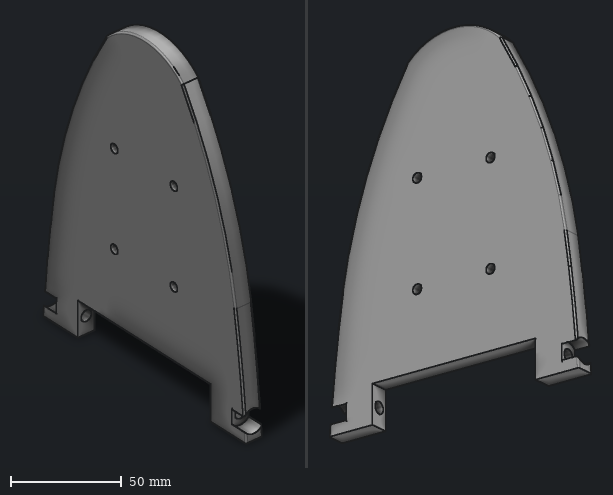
import cadquery as cq

thickness = 10.0
height = 182.4
overall_width = 141.4
base_half_width = overall_width / 2
side_lower_mid = (67.7, 34.7)
side_joint = (63.3, 68.8)
side_upper_mid = (50.5, 120.0)
shoulder = (26.6, 171.0)
edge_round = 1.0

gap_half_width = 46.0
gap_height = 20.0

mount_diameter = 5.0
mount_spacing_x = 41.4
mount_spacing_z = 54.0
mount_center_z = 86.8

pivot_z = 9.8
pivot_diameter = 6.0
counterbore_diameter = 12.8
counterbore_floor_x = 61.0


def mirrored(point):
    """Reflect an outline point across the centre plane."""
    return (-point[0], point[1])


def plate():
    """Tapered plate with rounded outer edges on both faces."""
    outline = (
        cq.Workplane("XZ")
        .moveTo(-base_half_width, 0)
        .lineTo(base_half_width, 0)
        .threePointArc(side_lower_mid, side_joint)
        .threePointArc(side_upper_mid, shoulder)
        .threePointArc((0, height), mirrored(shoulder))
        .threePointArc(mirrored(side_upper_mid), mirrored(side_joint))
        .threePointArc(mirrored(side_lower_mid), (-base_half_width, 0))
        .close()
    )
    body = outline.extrude(thickness / 2, both=True)
    return body.faces("<Y or >Y").edges("%CIRCLE").fillet(edge_round)


def foot_gap():
    """Rectangular cutter that leaves a foot at each lower corner."""
    return cq.Workplane("XY").box(
        2 * gap_half_width, thickness, gap_height, centered=(True, True, False)
    )


def mounting_holes():
    """Four round cutters through the thickness."""
    return (
        cq.Workplane("XZ")
        .center(0, mount_center_z)
        .rarray(mount_spacing_x, mount_spacing_z, 2, 2)
        .circle(mount_diameter / 2)
        .extrude(thickness, both=True)
    )


def pivot_bore():
    """Round cutter through both feet."""
    return (
        cq.Workplane("YZ")
        .center(0, pivot_z)
        .circle(pivot_diameter / 2)
        .extrude(base_half_width, both=True)
    )


def counterbore(side):
    """Wide outer part of the pivot bore; it breaks out through both faces."""
    return (
        cq.Workplane("YZ", origin=(side * counterbore_floor_x, 0, pivot_z))
        .circle(counterbore_diameter / 2)
        .extrude(side * (base_half_width - counterbore_floor_x))
    )


result = plate().cut(foot_gap()).cut(mounting_holes()).cut(pivot_bore())
for side in (-1, 1):
    result = result.cut(counterbore(side))